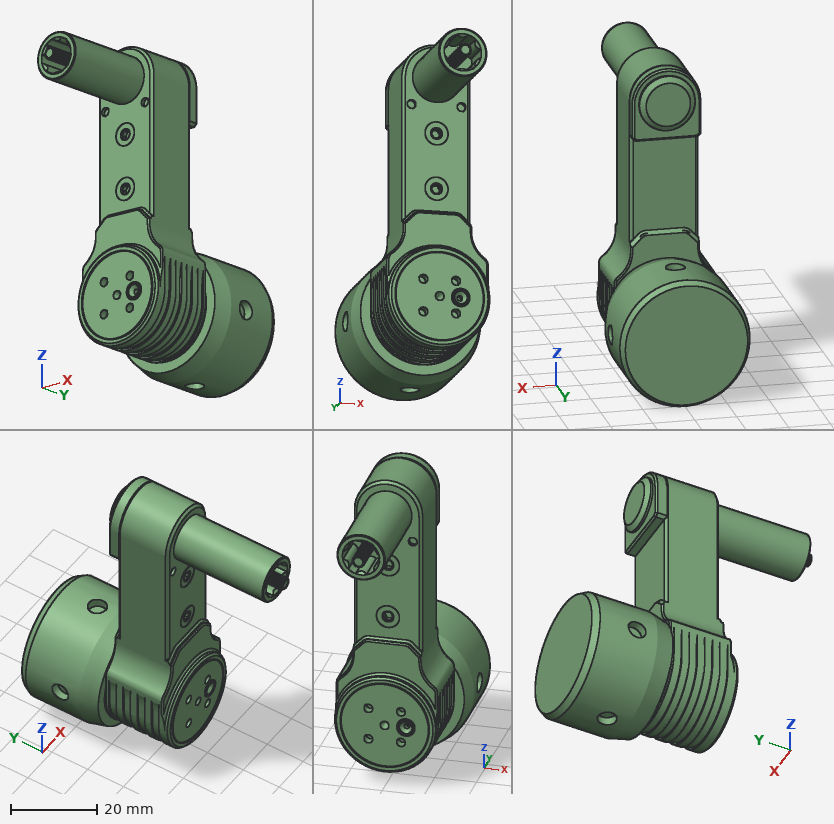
import cadquery as cq
import math


total_height = 76.5
total_depth = 63.9

knob_diameter = 31.0
knob_radius = knob_diameter / 2
knob_rear_y = 29.6
knob_front_y = 8.4
knob_rear_chamfer_length = 1.7
knob_rear_chamfer_depth = 0.9
knob_taper_length = 4.6
knob_taper_depth = 1.15
knob_hole_diameter = 4.5
knob_hole_depth = 2.3
knob_hole_y = 18.3
knob_hole_count = 4

arm_width = 16.3
arm_half_width = arm_width / 2
arm_thickness = 14.1
arm_rear_y = 7.2
arm_front_y = arm_rear_y - arm_thickness
arm_chamfer = 0.7
handle_z = total_height - knob_radius - arm_half_width

hub_radius = 12.1
hub_thickness = 16.2
hub_rear_y = hub_thickness / 2
hub_front_y = -hub_thickness / 2
hub_chamfer = 0.4
flank_top_z = 8.65
shoulder_radius = 2.0
neck_radius = 7.5
pad_top_z = 20.5
pad_top_half_width = 5.2
pad_slope_angle = math.radians(45)
pad_corner_radius = 2.3
cove = 0.5
cove_angle = 45

disc_front_y = -9.9
disc_chamfer = 0.5
disc_ring_radius = 10.6
disc_ring_width = 0.15
disc_ring_depth = 0.2
collar_radius = 11.8

groove_count = 4
groove_pitch = 4.0
groove_width = 2.1
groove_depth = 0.45
groove_top_z = 7.5
groove_runout_z = 4.05

disc_hole_diameter = 2.1
disc_hole_offset = 3.9
disc_hole_depth = 2.3
centre_hole_depth = 2.1
port_x = 5.05
port_ring_radius = 2.15
port_ring_width = 0.3
port_ring_depth = 0.2
port_cone_radius = 1.5
port_bore_radius = 0.6
port_cone_depth = 0.9
port_depth = 2.3

pin_hole_diameter = 2.1
pin_hole_x = 6.0
pin_hole_drop = 6.5
pin_hole_depth = 0.9
screw_head_radius = 2.75
screw_recess = 0.1
screw_socket_radius = 1.4
screw_hex_radius = 1.15
screw_socket_chamfer = 0.3
screw_socket_depth = 1.5
screw_first_drop = 13.15
screw_pitch = 13.2
screw_count = 2

cap_front_y = 6.8
cap_rear_y = 9.7
cap_bottom_z = 43.8
cap_chamfer = 0.45
cap_corner_chamfer = 0.8
button_radius = 6.65
button_rim_y = 10.25
button_top_radius = 5.3
button_top_y = 11.25

handle_radius = 5.7
handle_end_y = -31.8
handle_chamfer = 0.2
socket_radius = 4.4
socket_depth = 9.2
lobe_count = 6
lobe_reach = 0.7
lobe_radius = 1.9
socket_countersink_depth = 0.8
shaft_end_y = knob_rear_y - total_depth
shaft_radius = 1.45
shaft_root_radius = 1.15
shaft_tooth_count = 12
shaft_chamfer = 0.2


def xz_plane(y):
    """Sketch plane at depth y: local x is X, local y is Z; positive extrusion goes to -Y."""
    return cq.Workplane("XZ", origin=(0, y, 0))


def cylinder(radius, y_from, y_to, x=0.0, z=0.0):
    """Cylinder parallel to Y; y_from is the rear end and y_to the front end."""
    return xz_plane(y_from).center(x, z).circle(radius).extrude(y_from - y_to)


def turned(profile, x=0.0, z=0.0):
    """Solid turned about an axis parallel to Y from a profile of (radius, y) points."""
    outline = cq.Workplane("XY").polyline(profile).close()
    return outline.revolve(360, (0, 0, 0), (0, 1, 0)).translate((x, 0, z))


def make_knob():
    """Tapered round knob with blind holes spaced evenly around its rim."""
    knob = turned([
        (0, knob_rear_y),
        (knob_radius - knob_rear_chamfer_depth, knob_rear_y),
        (knob_radius, knob_rear_y - knob_rear_chamfer_length),
        (knob_radius, knob_front_y + knob_taper_length),
        (knob_radius - knob_taper_depth, knob_front_y),
        (0, knob_front_y),
    ])
    hole = (
        cq.Workplane("XY", origin=(0, knob_hole_y, knob_radius - knob_hole_depth))
        .circle(knob_hole_diameter / 2)
        .extrude(2 * knob_hole_depth)
    )
    for i in range(knob_hole_count):
        knob = knob.cut(hole.rotate((0, 0, 0), (0, 1, 0), i * 360 / knob_hole_count))
    return knob


def rounded_bar(bottom_z, rear_y, front_y):
    """Bar as wide as the arm with its top end rounded about the handle axis."""
    return (
        xz_plane(rear_y)
        .moveTo(-arm_half_width, bottom_z)
        .lineTo(arm_half_width, bottom_z)
        .lineTo(arm_half_width, handle_z)
        .threePointArc((0, handle_z + arm_half_width), (-arm_half_width, handle_z))
        .close()
        .extrude(rear_y - front_y)
    )


def make_arm():
    arm = rounded_bar(0, arm_rear_y, arm_front_y)
    return arm.faces("<Y or >Y").edges("not(<Z)").chamfer(arm_chamfer)


def make_cap():
    """Plate with a bevelled round button on the rear of the arm."""
    cap = rounded_bar(cap_bottom_z, cap_rear_y, cap_front_y)
    cap = cap.edges("|Y").edges("<Z").chamfer(cap_corner_chamfer)
    cap = cap.faces(">Y").chamfer(cap_chamfer)
    button = turned(
        [
            (0, cap_front_y),
            (button_radius, cap_front_y),
            (button_radius, button_rim_y),
            (button_top_radius, button_top_y),
            (0, button_top_y),
        ],
        z=handle_z,
    )
    return cap.union(button)


def make_hub_body():
    """Round at the bottom, flat flanks, then curved shoulders up to the width of the arm."""
    shoulder_x = hub_radius - shoulder_radius
    neck_x = arm_half_width + neck_radius
    centre_distance = shoulder_radius + neck_radius
    neck_z = flank_top_z + math.sqrt(centre_distance**2 - (neck_x - shoulder_x) ** 2)
    turn = math.atan2(neck_z - flank_top_z, neck_x - shoulder_x)
    meeting_x = shoulder_x + shoulder_radius * math.cos(turn)
    meeting_z = flank_top_z + shoulder_radius * math.sin(turn)
    shoulder_mid_x = shoulder_x + shoulder_radius * math.cos(turn / 2)
    shoulder_mid_z = flank_top_z + shoulder_radius * math.sin(turn / 2)
    neck_mid_x = neck_x - neck_radius * math.cos(turn / 2)
    neck_mid_z = neck_z - neck_radius * math.sin(turn / 2)
    slope_bottom_z = pad_top_z - (arm_half_width - pad_top_half_width) * math.tan(pad_slope_angle)

    body = (
        xz_plane(hub_rear_y)
        .moveTo(-hub_radius, 0)
        .threePointArc((0, -hub_radius), (hub_radius, 0))
        .lineTo(hub_radius, flank_top_z)
        .threePointArc((shoulder_mid_x, shoulder_mid_z), (meeting_x, meeting_z))
        .threePointArc((neck_mid_x, neck_mid_z), (arm_half_width, neck_z))
        .lineTo(arm_half_width, slope_bottom_z)
        .lineTo(pad_top_half_width, pad_top_z)
        .lineTo(-pad_top_half_width, pad_top_z)
        .lineTo(-arm_half_width, slope_bottom_z)
        .lineTo(-arm_half_width, neck_z)
        .threePointArc((-neck_mid_x, neck_mid_z), (-meeting_x, meeting_z))
        .threePointArc((-shoulder_mid_x, shoulder_mid_z), (-hub_radius, flank_top_z))
        .close()
        .extrude(hub_thickness)
    )
    body = body.edges("|Y").edges(">Z").fillet(pad_corner_radius)
    return body.faces("<Y or >Y").chamfer(hub_chamfer)


def make_pad_foot(arm_face_y):
    """Sloped foot where a pad of the hub rises from the front or rear face of the arm."""
    foot_top_z = pad_top_z + cove
    foot_half_width = pad_top_half_width + cove * math.tan(pad_slope_angle / 2)
    foot_side_x = arm_half_width + cove
    foot_side_z = foot_top_z - (foot_side_x - foot_half_width) * math.tan(pad_slope_angle)
    outline = (
        cq.Sketch()
        .polygon([
            (-foot_side_x, flank_top_z),
            (foot_side_x, flank_top_z),
            (foot_side_x, foot_side_z),
            (foot_half_width, foot_top_z),
            (-foot_half_width, foot_top_z),
            (-foot_side_x, foot_side_z),
            (-foot_side_x, flank_top_z),
        ])
        .vertices(">Y")
        .fillet(pad_corner_radius)
    )
    outward = math.copysign(1, arm_face_y)
    plane = xz_plane(arm_face_y)
    base = plane.placeSketch(outline).extrude(outward * arm_chamfer)
    slope = plane.placeSketch(outline).extrude(-outward * cove, taper=cove_angle)
    return base.union(slope).intersect(rounded_bar(0, hub_rear_y, hub_front_y))


def make_hub():
    """Hub body with its disc, the cove above the disc and the collar behind."""
    body = make_hub_body()
    drum = turned([
        (0, knob_front_y),
        (collar_radius, knob_front_y),
        (collar_radius, hub_rear_y - hub_chamfer),
        (hub_radius, hub_rear_y - hub_chamfer),
        (hub_radius, disc_front_y + disc_chamfer),
        (hub_radius - disc_chamfer, disc_front_y),
        (0, disc_front_y),
    ])
    disc_foot = turned([
        (0, hub_front_y + hub_chamfer),
        (hub_radius + cove + hub_chamfer, hub_front_y + hub_chamfer),
        (hub_radius, hub_front_y - cove),
        (0, hub_front_y - cove),
    ])
    upper_side = cq.Workplane("XY").box(
        2 * hub_radius, 4 * hub_radius, 2 * hub_radius, centered=(True, True, False)
    )
    return body.union(drum).union(disc_foot.intersect(upper_side))


def groove_cutter(y):
    """Shallow groove wrapped under the hub that runs out on both flanks."""
    floor_radius = hub_radius - groove_depth
    runout_length = groove_top_z - groove_runout_z
    runout_radius = (runout_length**2 + groove_depth**2) / (2 * groove_depth)
    half_turn = math.asin(runout_length / runout_radius) / 2
    runout_mid_x = floor_radius + runout_radius * (1 - math.cos(half_turn))
    runout_mid_z = groove_runout_z + runout_radius * math.sin(half_turn)
    rear_y = y + groove_width / 2

    core = (
        xz_plane(rear_y)
        .moveTo(-floor_radius, 0)
        .threePointArc((0, -floor_radius), (floor_radius, 0))
        .lineTo(floor_radius, groove_runout_z)
        .threePointArc((runout_mid_x, runout_mid_z), (hub_radius, groove_top_z))
        .lineTo(-hub_radius, groove_top_z)
        .threePointArc((-runout_mid_x, runout_mid_z), (-floor_radius, groove_runout_z))
        .close()
        .extrude(groove_width)
    )
    blank_bottom_z = -2 * hub_radius
    blank_height = groove_top_z - blank_bottom_z
    blank = (
        xz_plane(rear_y)
        .center(0, blank_bottom_z + blank_height / 2)
        .rect(4 * hub_radius, blank_height)
        .extrude(groove_width)
    )
    return blank.cut(core)


def cut_grooves(part):
    for i in range(groove_count):
        y = (i - (groove_count - 1) / 2) * groove_pitch
        part = part.cut(groove_cutter(y))
    return part


def ring_cutter(outer_radius, width, depth, x=0.0):
    """Thin ring groove in the front face of the disc."""
    floor_y = disc_front_y + depth
    ring = cylinder(outer_radius, floor_y, disc_front_y, x)
    return ring.cut(cylinder(outer_radius - width, floor_y, disc_front_y, x))


def cut_disc_details(part):
    hole_radius = disc_hole_diameter / 2
    floor_y = disc_front_y + disc_hole_depth
    for x in (-disc_hole_offset, disc_hole_offset):
        for z in (-disc_hole_offset, disc_hole_offset):
            part = part.cut(cylinder(hole_radius, floor_y, disc_front_y, x, z))

    centre_hole = turned([
        (0, disc_front_y),
        (hole_radius, disc_front_y),
        (0, disc_front_y + centre_hole_depth),
    ])
    port = turned(
        [
            (0, disc_front_y),
            (port_cone_radius, disc_front_y),
            (port_bore_radius, disc_front_y + port_cone_depth),
            (port_bore_radius, disc_front_y + port_depth),
            (0, disc_front_y + port_depth),
        ],
        x=port_x,
    )
    part = part.cut(centre_hole).cut(port)
    part = part.cut(ring_cutter(port_ring_radius, port_ring_width, port_ring_depth, port_x))
    return part.cut(ring_cutter(disc_ring_radius, disc_ring_width, disc_ring_depth))


def cut_arm_details(part):
    pin_z = handle_z - pin_hole_drop
    for x in (-pin_hole_x, pin_hole_x):
        hole = cylinder(pin_hole_diameter / 2, arm_front_y + pin_hole_depth, arm_front_y, x, pin_z)
        part = part.cut(hole)

    head_y = arm_front_y + screw_recess
    for i in range(screw_count):
        z = handle_z - screw_first_drop - i * screw_pitch
        head = cylinder(screw_head_radius, head_y, arm_front_y, z=z)
        hexagon = (
            xz_plane(head_y + screw_socket_depth)
            .center(0, z)
            .polygon(6, 2 * screw_hex_radius)
            .extrude(screw_socket_depth)
        )
        mouth = turned(
            [
                (0, head_y),
                (screw_socket_radius, head_y),
                (screw_socket_radius - screw_socket_chamfer, head_y + screw_socket_chamfer),
                (0, head_y + screw_socket_chamfer),
            ],
            z=z,
        )
        part = part.cut(head).cut(hexagon).cut(mouth)
    return part


def make_shaft():
    """Splined shaft standing on the floor of the handle socket."""
    root_y = handle_end_y + socket_depth
    core = cylinder(shaft_root_radius, root_y, shaft_end_y)
    tooth_width = math.pi * shaft_root_radius / shaft_tooth_count
    tooth = xz_plane(root_y).rect(2 * shaft_radius, tooth_width).extrude(root_y - shaft_end_y)
    for i in range(shaft_tooth_count // 2):
        core = core.union(tooth.rotate((0, 0, 0), (0, 1, 0), i * 360 / shaft_tooth_count))
    envelope = cylinder(shaft_radius, root_y, shaft_end_y).faces("<Y").chamfer(shaft_chamfer)
    return core.intersect(envelope).translate((0, 0, handle_z))


def make_handle():
    """Tube with a blind socket, narrowed by round lobes and countersunk at the mouth."""
    tube = cylinder(handle_radius, 0, handle_end_y).faces("<Y").chamfer(handle_chamfer)
    floor_y = handle_end_y + socket_depth
    socket = cylinder(socket_radius, floor_y, handle_end_y)
    lobe_centre = socket_radius - lobe_reach + lobe_radius
    for i in range(lobe_count):
        angle = math.radians((i + 0.5) * 360 / lobe_count)
        x = lobe_centre * math.cos(angle)
        z = lobe_centre * math.sin(angle)
        socket = socket.cut(cylinder(lobe_radius, floor_y, handle_end_y, x, z))
    countersink = turned([
        (0, handle_end_y),
        (socket_radius, handle_end_y),
        (socket_radius - lobe_reach, handle_end_y + socket_countersink_depth),
        (0, handle_end_y + socket_countersink_depth),
    ])
    tube = tube.cut(socket).cut(countersink)
    return tube.translate((0, 0, handle_z))


result = make_arm()
for face_y in (arm_rear_y, arm_front_y):
    result = result.union(make_pad_foot(face_y))
result = result.union(make_hub())
result = cut_grooves(result)
result = cut_disc_details(result)
result = cut_arm_details(result)
result = result.union(make_cap()).union(make_knob())
result = result.union(make_handle()).union(make_shaft()).clean()